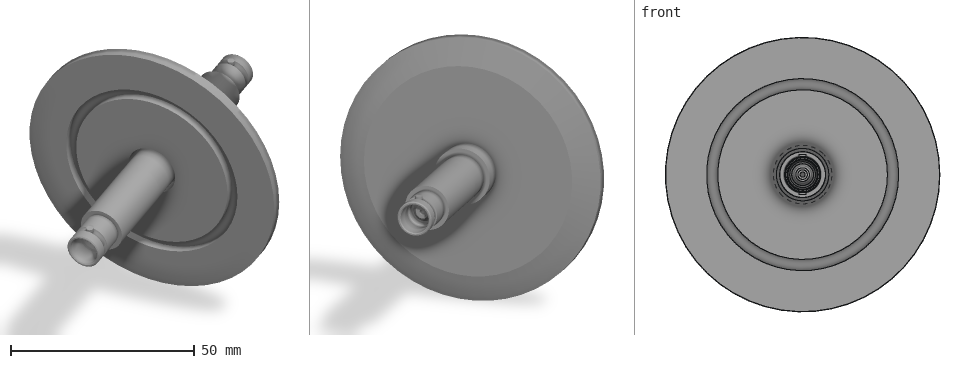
import cadquery as cq

overall_length = 93.0
half_length = overall_length / 2

flange_diameter = 74.9
flange_front_y = -5.1
flange_back_y = 0.0
rim_thickness = 3.1
cone_top_diameter = 59.9

groove_outer_diameter = 52.4
groove_inner_diameter = 46.3
groove_depth = 2.4

tube_diameter = 12.5
sleeve_diameter = 12.55
sleeve_start = 12.8
sleeve_end = 35.4
boss_diameter = 16.0
boss_height = 5.2
clearance_diameter = 14.3

connector_diameter = 9.9
end_chamfer = 0.3
neck_start = 3.0
neck_width = 1.95
neck_depth = 0.7
lug_diameter = 1.95
lug_span = 11.0

bore_diameter = 8.0
mouth_chamfer = 0.3
seat_depth = 6.0
seat_diameter = 7.1
seat_height = (bore_diameter - seat_diameter) / 2
floor_depth = 8.4

nose_base_diameter = 5.95
nose_middle_diameter = 4.8
nose_tip_diameter = 3.7
nose_middle_height = 0.6
nose_height = 1.4

contact_diameter = 2.6
contact_projection = 0.3
contact_hole_diameter = 1.4
contact_hole_depth = 2.8


def cylinder(diameter, y_start, y_end):
    """Cylinder on the Y axis between two positions."""
    return (
        cq.Workplane("XZ", origin=(0, y_start, 0))
        .circle(diameter / 2)
        .extrude(y_start - y_end)
    )


def revolve_about_y(profile):
    """Full turn of an XY profile about the Y axis."""
    return profile.close().revolve(360, (0, 0, 0), (0, 1, 0))


def make_flange():
    rim_back_y = flange_front_y + rim_thickness
    disc = revolve_about_y(
        cq.Workplane("XY")
        .moveTo(0, flange_front_y)
        .lineTo(flange_diameter / 2, flange_front_y)
        .lineTo(flange_diameter / 2, rim_back_y)
        .lineTo(cone_top_diameter / 2, flange_back_y)
        .lineTo(0, flange_back_y)
    )
    groove_floor_y = flange_front_y + groove_depth
    groove = cylinder(groove_outer_diameter, flange_front_y, groove_floor_y).cut(
        cylinder(groove_inner_diameter, flange_front_y, groove_floor_y)
    )
    clearance = cylinder(clearance_diameter, flange_front_y, flange_back_y)
    boss = cylinder(boss_diameter, flange_back_y, flange_back_y + boss_height)
    return disc.cut(groove).cut(clearance).union(boss)


def make_connector():
    """Connector on the +Y end, from the sleeve to the open mouth."""
    radius = connector_diameter / 2
    neck_outer_y = half_length - neck_start
    neck_middle_y = neck_outer_y - neck_width / 2
    neck_inner_y = neck_outer_y - neck_width
    body = revolve_about_y(
        cq.Workplane("XY")
        .moveTo(0, sleeve_end)
        .lineTo(radius, sleeve_end)
        .lineTo(radius, neck_inner_y)
        .threePointArc((radius - neck_depth, neck_middle_y), (radius, neck_outer_y))
        .lineTo(radius, half_length - end_chamfer)
        .lineTo(radius - end_chamfer, half_length)
        .lineTo(0, half_length)
    )
    lugs = (
        cq.Workplane("XY", origin=(0, neck_middle_y, 0))
        .circle(lug_diameter / 2)
        .extrude(lug_span / 2, both=True)
    )
    return body.union(lugs).cut(make_socket())


def make_socket():
    """Space inside the connector: a stepped bore around a conical nose with a contact."""
    bore_radius = bore_diameter / 2
    floor_y = half_length - floor_depth
    seat_top_y = half_length - seat_depth
    nose_tip_y = floor_y + nose_height
    contact_tip_y = nose_tip_y + contact_projection
    bore = revolve_about_y(
        cq.Workplane("XY")
        .moveTo(0, floor_y)
        .lineTo(seat_diameter / 2, floor_y)
        .lineTo(seat_diameter / 2, seat_top_y - seat_height)
        .lineTo(bore_radius, seat_top_y)
        .lineTo(bore_radius, half_length - mouth_chamfer)
        .lineTo(bore_radius + mouth_chamfer, half_length)
        .lineTo(0, half_length)
    )
    nose = revolve_about_y(
        cq.Workplane("XY")
        .moveTo(0, floor_y)
        .lineTo(nose_base_diameter / 2, floor_y)
        .lineTo(nose_middle_diameter / 2, floor_y + nose_middle_height)
        .lineTo(nose_tip_diameter / 2, nose_tip_y)
        .lineTo(0, nose_tip_y)
    )
    contact = cylinder(contact_diameter, floor_y, contact_tip_y)
    contact_hole = cylinder(contact_hole_diameter, contact_tip_y - contact_hole_depth, contact_tip_y)
    return bore.cut(nose).cut(contact).union(contact_hole)


def make_back_end():
    """Sleeve and connector on the +Y end."""
    sleeve = cylinder(sleeve_diameter, sleeve_start, sleeve_end)
    return sleeve.union(make_connector())


tube = cylinder(tube_diameter, -sleeve_start, sleeve_start)
back_end = make_back_end()
front_end = back_end.mirror("XZ")

result = make_flange().union(tube).union(back_end).union(front_end)